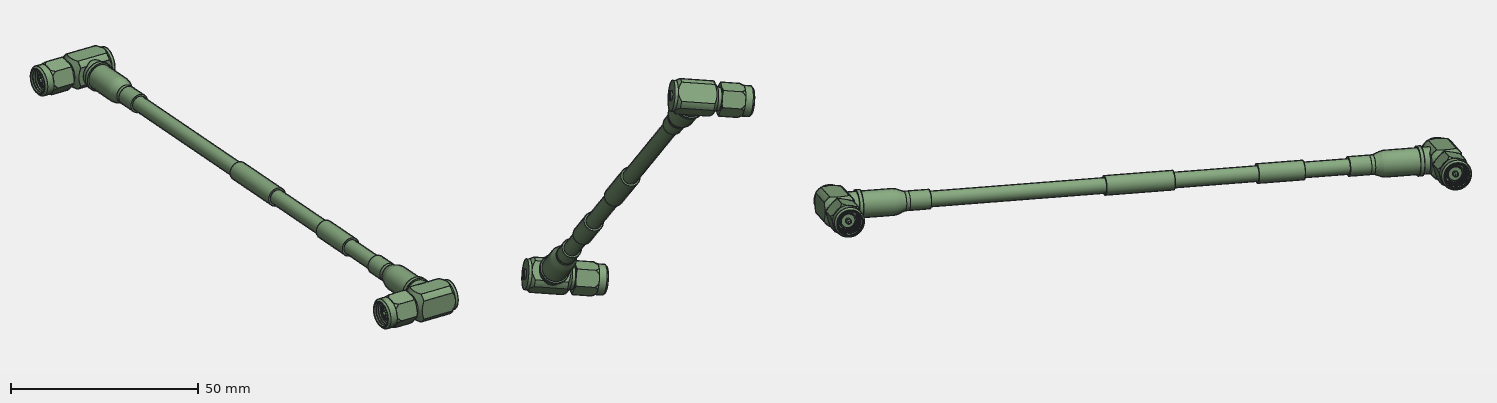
import cadquery as cq
import math

OVERALL_LENGTH = 176.5
OVERALL_DEPTH = 22.5

CABLE_RADIUS = 2.1
TUBE_RADIUS = 2.6
SLEEVE_LENGTH = 5.8
LABEL_LENGTH = 18.9
LABEL_CENTER_X = 0.0
BAND_LENGTH = 12.7
BAND_CENTER_X = 39.0

NUT_CORNER_RADIUS = 4.6
NUT_TILT = 16.5
HEX_SIDES = 6
NUT_REAR_Y = -6.5
HEX_FRONT_Y = -12.9
NUT_RIM_DIAMETER = 8.3
NUT_RIM_RADIUS = NUT_RIM_DIAMETER / 2
RIM_CHAMFER = 0.5
HEX_FRONT_BEVEL = 1.0
HEX_REAR_BEVEL = 0.2

BORE_RADIUS = 3.0
BORE_DEPTH = 4.5
BORE_MOUTH_CHAMFER = 0.4
THREAD_PITCH = 0.7
THREAD_DEPTH = 0.26
THREAD_TURNS = 5
SHELL_RADIUS = 2.3
SHELL_RECESS = 1.8
INSULATOR_RADIUS = 2.0
INSULATOR_STEP = 0.4
PIN_RADIUS = 0.7
PIN_TIP_RADIUS = 0.4
PIN_TIP_LENGTH = 0.5
PIN_RECESS = 0.5

BODY_WIDTH = 8.3
BODY_CORNER_RADIUS = 5.0
BODY_REAR_Y = 5.7
BODY_REAR_BEVEL = 0.9
BODY_FRONT_Y = -5.7
BODY_FRONT_BEVEL = 1.2
COLLAR_RADIUS = 3.2
CAP_TOP_Y = 6.5
SCREW_HEIGHT = 0.45
SCREW_TOP_Y = CAP_TOP_Y + SCREW_HEIGHT
SCREW_RADIUS = 1.5
SCREW_SLOT_WIDTH = 0.7

BARREL_DIAMETER = 7.2
BARREL_RADIUS = BARREL_DIAMETER / 2
FLANGE_RADIUS = 4.0
FLANGE_START = 5.8
FLANGE_WIDTH = 1.0
BARREL_BEVEL_START = 15.9
BARREL_END = 17.0
BARREL_END_DIAMETER = 6.9
BARREL_END_RADIUS = BARREL_END_DIAMETER / 2
TAPER_END = 18.5
TAPER_END_RADIUS = 2.8
TIP_START = 19.0
TIP_END = 20.1

NUT_FRONT_Y = SCREW_TOP_Y - OVERALL_DEPTH

CORNER_OFF_X = 180 / HEX_SIDES - NUT_TILT
ELBOW_X = OVERALL_LENGTH / 2 - NUT_CORNER_RADIUS * math.cos(math.radians(CORNER_OFF_X))
CABLE_HALF_LENGTH = ELBOW_X - TIP_END


def revolve_about_y(outline):
    """Turn a closed outline of (radius, y) points about the Y axis."""
    return cq.Workplane("XY").polyline(outline).close().revolve(360, (0, 0, 0), (0, 1, 0))


def cylinder_x(radius, start, end):
    """Round bar along X from start to end."""
    return cq.Workplane("YZ").workplane(offset=start).circle(radius).extrude(end - start)


def prism_y(sketch, rear_y, front_y):
    """Extrude a sketch drawn on an XZ workplane between two Y positions."""
    return sketch.extrude(rear_y - front_y).translate((0, rear_y, 0))


def make_elbow_body():
    """Square block with rounded long corners, coned ends and a slotted rear cap."""
    half_width = BODY_WIDTH / 2
    block = prism_y(cq.Workplane("XZ").rect(BODY_WIDTH, BODY_WIDTH), BODY_REAR_Y, BODY_FRONT_Y)
    trim = revolve_about_y([
        (0, BODY_REAR_Y),
        (half_width, BODY_REAR_Y),
        (BODY_CORNER_RADIUS, BODY_REAR_Y - BODY_REAR_BEVEL),
        (BODY_CORNER_RADIUS, BODY_FRONT_Y + BODY_FRONT_BEVEL),
        (COLLAR_RADIUS, BODY_FRONT_Y),
        (0, BODY_FRONT_Y),
    ])
    cap = prism_y(cq.Workplane("XZ").circle(half_width), CAP_TOP_Y, BODY_REAR_Y)
    screw = prism_y(cq.Workplane("XZ").circle(SCREW_RADIUS), SCREW_TOP_Y, CAP_TOP_Y)
    slot = prism_y(cq.Workplane("XZ").rect(SCREW_SLOT_WIDTH, 2 * SCREW_RADIUS), SCREW_TOP_Y, CAP_TOP_Y)
    collar = prism_y(cq.Workplane("XZ").circle(COLLAR_RADIUS), BODY_FRONT_Y, NUT_REAR_Y)
    return block.intersect(trim).union(cap).union(screw.cut(slot)).union(collar)


def make_nut():
    """Hexagonal nut with coned corners and a round front rim."""
    hexagon = prism_y(cq.Workplane("XZ").polygon(HEX_SIDES, 2 * NUT_CORNER_RADIUS), NUT_REAR_Y, HEX_FRONT_Y)
    hexagon = hexagon.rotate((0, 0, 0), (0, 1, 0), CORNER_OFF_X)
    trim = revolve_about_y([
        (0, NUT_REAR_Y),
        (NUT_RIM_RADIUS, NUT_REAR_Y),
        (NUT_CORNER_RADIUS, NUT_REAR_Y - HEX_REAR_BEVEL),
        (NUT_CORNER_RADIUS, HEX_FRONT_Y + HEX_FRONT_BEVEL),
        (NUT_RIM_RADIUS, HEX_FRONT_Y),
        (0, HEX_FRONT_Y),
    ])
    rim = prism_y(cq.Workplane("XZ").circle(NUT_RIM_RADIUS), HEX_FRONT_Y, NUT_FRONT_Y)
    rim = rim.faces("<Y").chamfer(RIM_CHAMFER)
    return hexagon.intersect(trim).union(rim)


def make_socket():
    """Space inside the nut, around the shell, insulator and center pin."""
    shell_y = NUT_FRONT_Y + SHELL_RECESS
    insulator_y = shell_y + INSULATOR_STEP
    pin_y = NUT_FRONT_Y + PIN_RECESS
    bore_end_y = NUT_FRONT_Y + BORE_DEPTH
    return revolve_about_y([
        (0, NUT_FRONT_Y),
        (BORE_RADIUS + BORE_MOUTH_CHAMFER, NUT_FRONT_Y),
        (BORE_RADIUS, NUT_FRONT_Y + BORE_MOUTH_CHAMFER),
        (BORE_RADIUS, bore_end_y),
        (SHELL_RADIUS, bore_end_y),
        (SHELL_RADIUS, shell_y),
        (INSULATOR_RADIUS, shell_y),
        (INSULATOR_RADIUS, insulator_y),
        (PIN_RADIUS, insulator_y),
        (PIN_RADIUS, pin_y + PIN_TIP_LENGTH),
        (PIN_TIP_RADIUS, pin_y),
        (0, pin_y),
    ])


def make_thread_groove(turn):
    """V-shaped ring cut into the bore wall, standing for one turn of its thread."""
    front_y = NUT_FRONT_Y + BORE_MOUTH_CHAMFER + turn * THREAD_PITCH
    return revolve_about_y([
        (SHELL_RADIUS, front_y),
        (BORE_RADIUS, front_y),
        (BORE_RADIUS + THREAD_DEPTH, front_y + THREAD_PITCH / 2),
        (BORE_RADIUS, front_y + THREAD_PITCH),
        (SHELL_RADIUS, front_y + THREAD_PITCH),
    ])


def make_barrel():
    """Stepped crimp barrel from the elbow axis out to the cable end."""
    flange_end = FLANGE_START + FLANGE_WIDTH
    outline = [
        (0, 0),
        (0, BARREL_RADIUS),
        (FLANGE_START, BARREL_RADIUS),
        (FLANGE_START, FLANGE_RADIUS),
        (flange_end, FLANGE_RADIUS),
        (flange_end, BARREL_RADIUS),
        (BARREL_BEVEL_START, BARREL_RADIUS),
        (BARREL_END, BARREL_END_RADIUS),
        (TAPER_END, TAPER_END_RADIUS),
        (TIP_START, TUBE_RADIUS),
        (TIP_END, TUBE_RADIUS),
        (TIP_END, 0),
    ]
    return cq.Workplane("XY").polyline(outline).close().revolve(360, (0, 0, 0), (1, 0, 0))


def make_connector():
    """Right-angle connector with its elbow axis on Y and its barrel toward +X."""
    connector = make_elbow_body().union(make_barrel()).union(make_nut()).cut(make_socket())
    for turn in range(THREAD_TURNS):
        connector = connector.cut(make_thread_groove(turn))
    return connector


def make_tube(center_x, length):
    """Tube fitted closely around the cable."""
    start = center_x - length / 2
    end = center_x + length / 2
    return cylinder_x(TUBE_RADIUS, start, end).cut(cylinder_x(CABLE_RADIUS, start, end))


cable = cylinder_x(CABLE_RADIUS, -CABLE_HALF_LENGTH, CABLE_HALF_LENGTH)
label = make_tube(LABEL_CENTER_X, LABEL_LENGTH)
band = make_tube(BAND_CENTER_X, BAND_LENGTH)

connectors = []
sleeves = []
for turn in (0, 180):
    connector = make_connector().translate((-ELBOW_X, 0, 0))
    sleeve = make_tube(-CABLE_HALF_LENGTH + SLEEVE_LENGTH / 2, SLEEVE_LENGTH)
    connectors.append(connector.rotate((0, 0, 0), (0, 1, 0), turn).val())
    sleeves.append(sleeve.rotate((0, 0, 0), (0, 1, 0), turn).val())

result = cq.Compound.makeCompound([cable.val(), label.val(), band.val(), *connectors, *sleeves])